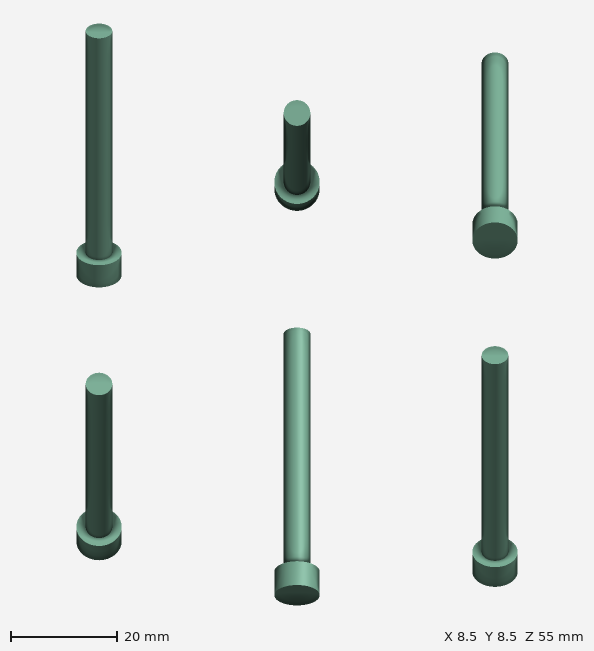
import cadquery as cq

total_length = 55.0
head_diameter = 8.5
head_height = 5.0
shank_diameter = 5.0

shank_length = total_length - head_height

head = cq.Workplane("XY").circle(head_diameter / 2).extrude(head_height)

result = head.faces(">Z").workplane().circle(shank_diameter / 2).extrude(shank_length)